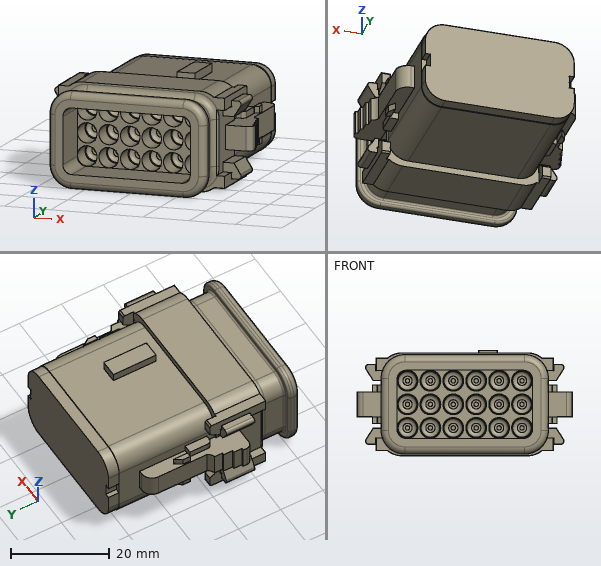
import cadquery as cq


OVERLAP = 0.45
MARGIN = 0.05

RIM_END = 2.65
COLLAR_START = 8.8
COLLAR_END = 19.55
CAP_START = 42.3
LENGTH = 44.8

RIM = (17.02, 10.12, 4.85)
NECK = (15.35, 8.6, 3.7)
COLLAR = (17.4, 10.5, 4.6)
SHELL = (15.9, 9.1, 4.25)
CAP = (15.85, 8.9, 4.2)
CAVITY = (13.8, 6.95, 1.93)

SIDE_FLAT_X = 16.2

RIM_FRONT_RADIUS = 1.5
RIM_BACK_RADIUS = 0.55
RIM_NECK_RADIUS = 0.4
NECK_COLLAR_RADIUS = 1.5

CAVITY_DEPTH = 8.5
COLUMNS = 6
ROWS = 3
COLUMN_PITCH = 4.65
ROW_PITCH = 4.8
HOLE_RADIUS = 4.2 / 2
HOLE_DEPTH = 4.5
DISH_RADIUS = 3.8 / 2
SOCKET_RADIUS = 1.9 / 2
SOCKET_DEPTH = 1.35
TIP_RADIUS = 0.9 / 2
TIP_DEPTH = 0.65

FLANGE_X = 18.0
FLANGE_TOP = 9.4
FLANGE_BOTTOM = 6.85
FLANGE_ROOT_X = 13.45
TAIL_END = 22.05
TAIL_LOW = 5.4
TAIL_CHAMFER = 0.35
TAIL_STEP = 0.35

HOOK_START = 12.65
HOOK_END = 19.35
HOOK_TIP_X = 20.75
HOOK_BOTTOM = 4.85
HOOK_TOP = 8.15
HOOK_ROOT_X = 15.45
HOOK_FOOT_X = 18.65
HOOK_GAP = 0.15
HOOK_TIP_RADIUS = 0.65

LEVER_HALF_HEIGHT = 2.55
LEVER_ROOT_X = 15.25
LEVER_FRONT = 14.35
LEVER_REAR = 37.4
LEVER_X = 19.15
LEVER_REAR_RADIUS = 2.5
LEVER_NOSE_RADIUS = 1.25
LEVER_WAIST = 23.35
LEVER_WAIST_RADIUS = 1.85
GRIP_STEPS = ((20.45, 22.35), (20.9, 20.47), (21.4, 18.35), (21.9, 16.45))

SIDE_HALF_HEIGHT = 3.95
CATCH_INNER_X = 17.75
CATCH_OUTER_X = 18.8
CATCH_FRONT = 27.15
CATCH_SHOULDER = 28.9
CATCH_REAR = 30.45
SUPPORT_X = 17.85
SUPPORT_FRONT = 21.45
SUPPORT_REAR = 26.65
SUPPORT_RADIUS = 0.9

PAD_LEFT = 2.8
PAD_WIDTH = 3.8
PAD_FRONT = 22.25
PAD_LENGTH = 10.12
PAD_TOP = 10.98
PAD_ROOT = 8.05
SLOT_DEPTH = 1.05
SLOT_BOTTOM = -1.25
SLOT_TOP = 1.5


def box(x_range, y_range, z_range):
    """Box between the given pairs of limits."""
    sizes = [high - low for low, high in (x_range, y_range, z_range)]
    corner = (x_range[0], y_range[0], z_range[0])
    return cq.Workplane("XY").box(*sizes, centered=False).translate(corner)


def section(profile, start, end):
    """Rounded rectangle extruded along Y."""
    half_width, half_height, radius = profile
    block = box((-half_width, half_width), (start, end), (-half_height, half_height))
    return block.edges("|Y").fillet(radius)


def with_mirror(body, plane):
    """Body together with its mirror image."""
    return body.union(body.mirror(plane))


def make_housing():
    rim = section(RIM, 0, RIM_END)
    rim = rim.faces("<Y").edges().fillet(RIM_FRONT_RADIUS)
    rim = rim.faces(">Y").edges().fillet(RIM_BACK_RADIUS)

    neck = section(NECK, RIM_END - OVERLAP, COLLAR_START + OVERLAP)
    collar = section(COLLAR, COLLAR_START, COLLAR_END)
    front = rim.union(neck).union(collar)
    for station, radius in ((RIM_END, RIM_NECK_RADIUS), (COLLAR_START, NECK_COLLAR_RADIUS)):
        near_corner = (-NECK[0] - MARGIN, station - MARGIN, -NECK[1] - MARGIN)
        far_corner = (NECK[0] + MARGIN, station + MARGIN, NECK[1] + MARGIN)
        neck_edges = cq.selectors.BoxSelector(near_corner, far_corner, boundingbox=True)
        front = front.edges(neck_edges).fillet(radius)

    recess = box(
        (SIDE_FLAT_X, COLLAR[0]),
        (COLLAR_START, COLLAR_END),
        (-FLANGE_BOTTOM, FLANGE_BOTTOM),
    )
    front = front.cut(with_mirror(recess, "YZ"))

    shell = section(SHELL, COLLAR_START + OVERLAP, CAP_START)
    cap = section(CAP, CAP_START - OVERLAP, LENGTH)
    return front.union(shell).union(cap)


def make_flange():
    """Flange on the upper right edge of the collar, with a thin tail behind it."""
    flange = box((FLANGE_ROOT_X, FLANGE_X), (COLLAR_START, COLLAR_END), (FLANGE_BOTTOM, FLANGE_TOP))
    tail = (
        cq.Workplane("YZ", origin=(SIDE_FLAT_X, 0, 0))
        .moveTo(COLLAR_START, FLANGE_TOP)
        .lineTo(TAIL_END - TAIL_CHAMFER, FLANGE_TOP)
        .lineTo(TAIL_END, FLANGE_TOP - TAIL_CHAMFER)
        .lineTo(TAIL_END, FLANGE_BOTTOM)
        .lineTo(COLLAR_END + TAIL_STEP, TAIL_LOW)
        .lineTo(COLLAR_END, TAIL_LOW)
        .lineTo(COLLAR_END, FLANGE_BOTTOM)
        .lineTo(COLLAR_START, FLANGE_BOTTOM)
        .close()
        .extrude(FLANGE_X - SIDE_FLAT_X)
    )
    return flange.union(tail)


def make_hook():
    """Sloped hook on the upper right side of the collar."""
    profile = [
        (HOOK_ROOT_X, HOOK_BOTTOM),
        (HOOK_FOOT_X, HOOK_BOTTOM),
        (HOOK_TIP_X, HOOK_TOP),
        (FLANGE_X + HOOK_GAP, HOOK_TOP),
        (FLANGE_X + HOOK_GAP, FLANGE_BOTTOM),
        (HOOK_ROOT_X, FLANGE_BOTTOM),
    ]
    hook = (
        cq.Workplane("XZ", origin=(0, HOOK_START, 0))
        .polyline(profile)
        .close()
        .extrude(HOOK_START - HOOK_END)
    )
    return hook.edges("|Y and >X").fillet(HOOK_TIP_RADIUS)


def make_lever():
    """Right latch lever with its stepped finger grip."""
    grip_x = GRIP_STEPS[-1][0]
    lever = (
        cq.Workplane("XY", origin=(0, 0, -LEVER_HALF_HEIGHT))
        .moveTo(LEVER_ROOT_X, LEVER_REAR)
        .lineTo(LEVER_X - LEVER_REAR_RADIUS, LEVER_REAR)
        .radiusArc((LEVER_X, LEVER_REAR - LEVER_REAR_RADIUS), LEVER_REAR_RADIUS)
        .lineTo(LEVER_X, LEVER_WAIST)
    )
    first_x, first_y = GRIP_STEPS[0]
    lever = lever.radiusArc((first_x, first_y), -LEVER_WAIST_RADIUS)
    for (inner_x, _), (outer_x, step_y) in zip(GRIP_STEPS, GRIP_STEPS[1:]):
        lever = lever.lineTo(inner_x, step_y)
        lever = lever.lineTo(outer_x, step_y)
    return (
        lever.lineTo(grip_x, LEVER_FRONT + LEVER_NOSE_RADIUS)
        .radiusArc((grip_x - LEVER_NOSE_RADIUS, LEVER_FRONT), LEVER_NOSE_RADIUS)
        .lineTo(LEVER_ROOT_X, LEVER_FRONT)
        .close()
        .extrude(2 * LEVER_HALF_HEIGHT)
    )


def make_lever_sides():
    """Catch and support that stand out above and below the right lever."""
    bottom = cq.Workplane("XY", origin=(0, 0, -SIDE_HALF_HEIGHT))
    catch = (
        bottom.moveTo(CATCH_INNER_X, CATCH_FRONT)
        .lineTo(CATCH_OUTER_X, CATCH_FRONT)
        .lineTo(CATCH_OUTER_X, CATCH_SHOULDER)
        .lineTo(CATCH_INNER_X, CATCH_REAR)
        .close()
        .extrude(2 * SIDE_HALF_HEIGHT)
    )
    support = box(
        (LEVER_ROOT_X, SUPPORT_X),
        (SUPPORT_FRONT, SUPPORT_REAR),
        (-SIDE_HALF_HEIGHT, SIDE_HALF_HEIGHT),
    )
    support = support.edges("|Z and >X and <Y").fillet(SUPPORT_RADIUS)
    return catch.union(support)


def make_pad():
    return box((PAD_LEFT, PAD_LEFT + PAD_WIDTH), (PAD_FRONT, PAD_FRONT + PAD_LENGTH), (PAD_ROOT, PAD_TOP))


def make_contact_hole():
    """Hole with a rounded dish, a socket and a tip, turned about the Y axis."""
    dish_start = CAVITY_DEPTH + HOLE_DEPTH
    dish_depth = DISH_RADIUS - SOCKET_RADIUS
    socket_start = dish_start + dish_depth
    socket_end = socket_start + SOCKET_DEPTH
    return (
        cq.Workplane("XY")
        .moveTo(0, CAVITY_DEPTH - OVERLAP)
        .lineTo(HOLE_RADIUS, CAVITY_DEPTH - OVERLAP)
        .lineTo(HOLE_RADIUS, dish_start)
        .lineTo(DISH_RADIUS, dish_start)
        .radiusArc((SOCKET_RADIUS, socket_start), -dish_depth)
        .lineTo(SOCKET_RADIUS, socket_end)
        .lineTo(TIP_RADIUS, socket_end)
        .lineTo(TIP_RADIUS, socket_end + TIP_DEPTH)
        .lineTo(0, socket_end + TIP_DEPTH)
        .close()
        .revolve(360, (0, 0), (0, 1))
    )


def make_contact_holes():
    hole = make_contact_hole().val()
    holes = cq.Workplane("XY")
    for column in range(COLUMNS):
        for row in range(ROWS):
            x = (column - (COLUMNS - 1) / 2) * COLUMN_PITCH
            z = (row - (ROWS - 1) / 2) * ROW_PITCH
            holes = holes.add(hole.translate(cq.Vector(x, 0, z)))
    return holes.combine()


corner_parts = with_mirror(make_flange().union(make_hook()), "XY")
side_parts = make_lever().union(make_lever_sides()).union(corner_parts)
slot = box((CAP[0] - SLOT_DEPTH, CAP[0] + OVERLAP), (CAP_START, LENGTH), (SLOT_BOTTOM, SLOT_TOP))

result = make_housing().union(with_mirror(side_parts, "YZ")).union(make_pad())
result = result.cut(with_mirror(slot, "YZ"))
result = result.cut(section(CAVITY, 0, CAVITY_DEPTH))
result = result.cut(make_contact_holes())